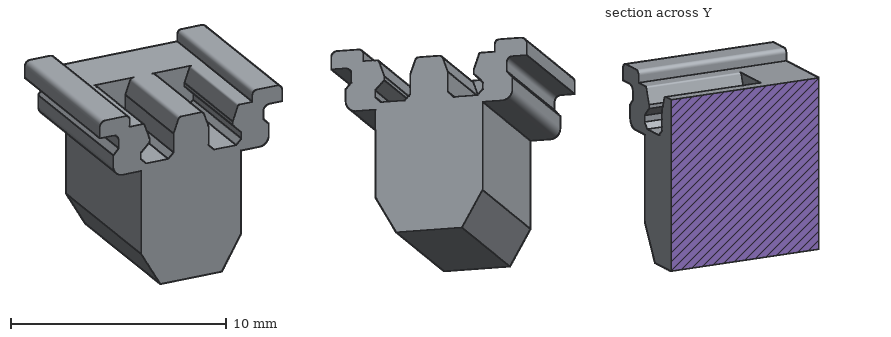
import cadquery as cq

length = 7.8
width = 9.5
height = 8.9

rail_inner_half_width = 3.19
rail_outer_radius = 0.3
rail_inner_radius = 0.23
deck_z = height - 0.58
rail_underside_z = height - 0.86

neck_half_width = 3.77
neck_radius = 0.3
neck_bottom_z = height - 1.56
shoulder_half_width = 4.05
shoulder_top_z = height - 1.87
shoulder_bottom_z = height - 2.945
shoulder_radius = 0.5

body_half_width = 2.6
foot_half_width = 1.6
taper_start_z = 1.73

slot_length = 5.0
slot_inner_mouth_y = 0.625
slot_outer_mouth_y = 2.45
slot_inner_wall_y = 0.915
slot_outer_wall_y = 2.165
slot_inner_mouth_radius = 0.2
slot_outer_mouth_radius = 0.11
slot_flank_bottom_z = height - 1.38
slot_lip_bottom_z = height - 1.57
slot_undercut = 0.45
slot_floor_z = height - 2.61
slot_floor_chamfer = 0.275


def extrude_along_x(points, x_start, x_end):
    """Extrude a closed YZ outline from x_start to x_end."""
    outline = cq.Workplane("YZ", origin=(x_start, 0, 0)).polyline(points).close()
    return outline.extrude(x_end - x_start)


def round_edge(solid, y, z, radius):
    """Round the edge that runs along X through the point (y, z)."""
    edge_middle = (0, y, z)
    return solid.edges(cq.selectors.NearestToPointSelector(edge_middle)).fillet(radius)


def make_block():
    """Full-length profile with rails, side grooves, shoulders and tapered foot."""
    half_width = width / 2
    half_outline = [
        (foot_half_width, 0),
        (body_half_width, taper_start_z),
        (body_half_width, shoulder_bottom_z),
        (shoulder_half_width, shoulder_bottom_z),
        (shoulder_half_width, shoulder_top_z),
        (neck_half_width, neck_bottom_z),
        (neck_half_width, rail_underside_z),
        (half_width, rail_underside_z),
        (half_width, height),
        (rail_inner_half_width, height),
        (rail_inner_half_width, deck_z),
    ]
    mirrored_outline = [(-y, z) for y, z in reversed(half_outline)]
    block = extrude_along_x(half_outline + mirrored_outline, -length / 2, length / 2)
    for side in (1, -1):
        block = round_edge(block, side * half_width, height, rail_outer_radius)
        block = round_edge(block, side * rail_inner_half_width, height, rail_inner_radius)
        block = round_edge(block, side * neck_half_width, rail_underside_z, neck_radius)
        block = round_edge(block, side * shoulder_half_width, shoulder_bottom_z, shoulder_radius)
    return block


def make_slot(side):
    """Slot with sloped flanks, an undercut outer wall and a chamfered floor."""
    undercut_y = slot_outer_wall_y + slot_undercut
    chamfer_top_z = slot_floor_z + slot_floor_chamfer
    outline = [
        (slot_inner_mouth_y, deck_z),
        (slot_inner_wall_y, slot_flank_bottom_z),
        (slot_inner_wall_y, chamfer_top_z),
        (slot_inner_wall_y + slot_floor_chamfer, slot_floor_z),
        (undercut_y - slot_floor_chamfer, slot_floor_z),
        (undercut_y, chamfer_top_z),
        (undercut_y, slot_lip_bottom_z - slot_undercut),
        (slot_outer_wall_y, slot_lip_bottom_z),
        (slot_outer_wall_y, slot_flank_bottom_z),
        (slot_outer_mouth_y, deck_z),
    ]
    points = [(side * y, z) for y, z in outline]
    return extrude_along_x(points, length / 2 - slot_length, length / 2)


def add_slot(block, side):
    """Cut one slot and round the two long edges of its mouth."""
    block = block.cut(make_slot(side))
    for mouth_y, radius in (
        (slot_inner_mouth_y, slot_inner_mouth_radius),
        (slot_outer_mouth_y, slot_outer_mouth_radius),
    ):
        edge_middle = ((length - slot_length) / 2, side * mouth_y, deck_z)
        block = block.edges(cq.selectors.NearestToPointSelector(edge_middle)).fillet(radius)
    return block


result = make_block()
for slot_side in (1, -1):
    result = add_slot(result, slot_side)